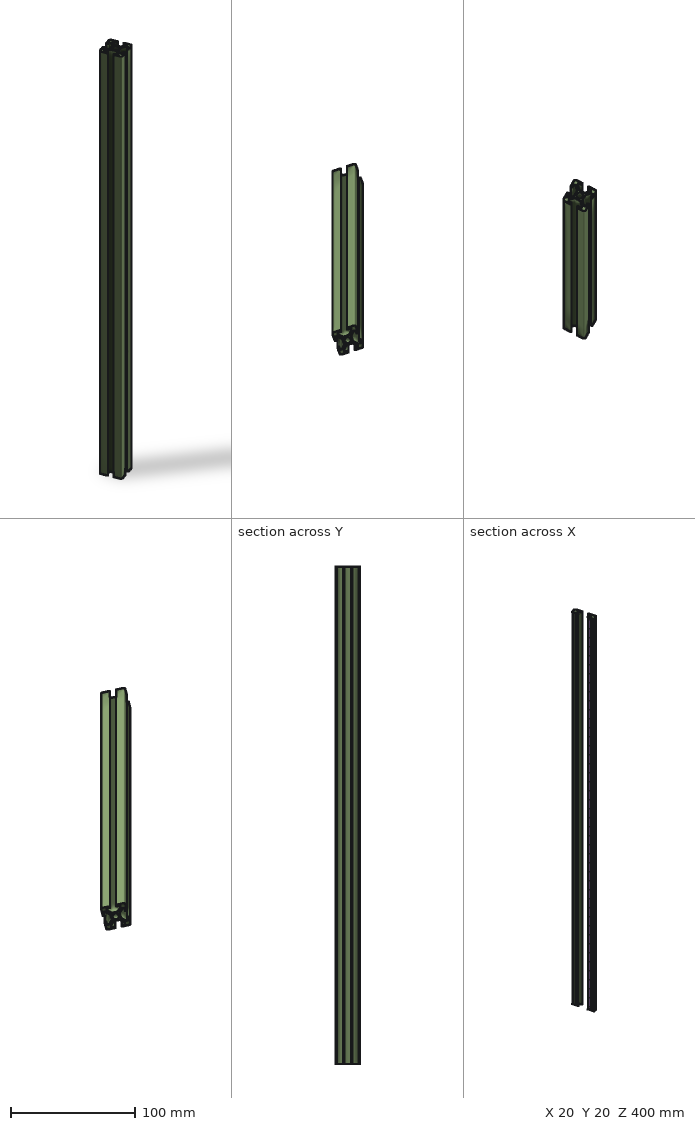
import cadquery as cq
import math

length = 400.0
width = 20.0
corner_radius = 1.45

slot_opening = 5.0
lip_thickness = 1.5
lip_reach = 3.3
slot_edge_radius = 0.5

core_width = 7.5
web_thickness = 1.9
bore_diameter = 5.0

position_tolerance = 0.05

half_width = width / 2
half_opening = slot_opening / 2
half_inner = half_opening + lip_reach
half_core = core_width / 2
lip_depth = half_width - lip_thickness
web_offset = web_thickness / 2 * math.sqrt(2)

slot_half_outline = [
    (half_opening, half_width),
    (half_opening, lip_depth),
    (half_inner, lip_depth),
    (half_inner, half_inner + web_offset),
    (half_core - web_offset, half_core),
]


def make_slot_cutter():
    """Solid that cuts the T-slot on the +Y side."""
    left_half = [(-x, y) for x, y in reversed(slot_half_outline)]
    outline = cq.Workplane("XY").polyline(slot_half_outline + left_half).close()
    return outline.extrude(length)


def is_slot_edge(edge):
    """True for a lengthwise edge that passes through a corner of any slot outline."""
    center = edge.Center()
    place = sorted((abs(center.x), abs(center.y)))
    return any(math.dist(place, corner) < position_tolerance for corner in slot_half_outline)


bar = cq.Workplane("XY").rect(width, width).extrude(length)
bar = bar.edges("|Z").fillet(corner_radius)

slot_cutter = make_slot_cutter()
for quarter_turn in range(4):
    bar = bar.cut(slot_cutter.rotate((0, 0, 0), (0, 0, 1), 90 * quarter_turn))

slot_edges = [edge for edge in bar.edges("|Z").vals() if is_slot_edge(edge)]
bar = bar.newObject(slot_edges).fillet(slot_edge_radius)

bore = cq.Workplane("XY").circle(bore_diameter / 2).extrude(length)
result = bar.cut(bore).solids()